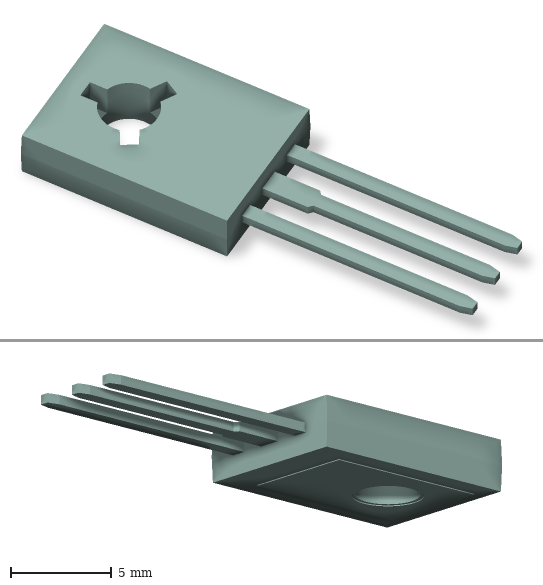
import cadquery as cq

total_length = 24.8
body_length = 11.75
body_width = 8.6
body_face_length = 11.7
body_face_width = 8.48
body_height = 2.7
parting_z = body_height / 2

pad_start = 0.77
pad_length = 9.05
pad_width = 6.1
pad_thickness = 0.05
pad_hole_diameter = 3.6

hole_x = 3.8
hole_diameter = 3.2
notch_reach = 2.5
notch_width = 1.0
notch_depth = 1.79
notch_angles = (60, 180, 300)

lead_pitch = 2.3
lead_width = 0.82
lead_thickness = 0.5
lead_centre_z = parting_z - 0.02
lead_root = body_length - 0.25
tip_length = 0.65
tip_width = 0.5
shoulder_width = 1.26
shoulder_end = 14.33
shoulder_taper = 0.2


def make_body():
    """Two half-height blocks, each narrowing from the parting plane to its face."""
    body = cq.Workplane("XY")
    for face_offset in (-parting_z, body_height - parting_z):
        half = (
            cq.Workplane("XY", origin=(body_length / 2, 0, parting_z))
            .rect(body_length, body_width)
            .workplane(offset=face_offset)
            .rect(body_face_length, body_face_width)
            .loft(ruled=True)
        )
        body = body.union(half)
    return body


def make_pad():
    """Thin plate on the underside, opened around the mounting hole."""
    plate = cq.Workplane("XY").box(pad_length, pad_width, pad_thickness, centered=(False, True, False))
    plate = plate.translate((pad_start, 0, -pad_thickness))
    opening = (
        cq.Workplane("XY", origin=(hole_x, 0, -pad_thickness))
        .circle(pad_hole_diameter / 2)
        .extrude(pad_thickness)
    )
    return plate.cut(opening)


def make_hole_cutter():
    """Through hole with blind notches spaced evenly around it."""
    cutter = cq.Workplane("XY").circle(hole_diameter / 2).extrude(body_height)
    notch = (
        cq.Workplane("XY")
        .box(notch_reach, notch_width, notch_depth, centered=(False, True, False))
        .translate((0, 0, body_height - notch_depth))
    )
    for angle in notch_angles:
        cutter = cutter.union(notch.rotate((0, 0, 0), (0, 0, 1), angle))
    return cutter.translate((hole_x, 0, 0))


def extrude_lead(half_outline):
    """Flat lead from one half of its outline, mirrored about its own axis."""
    other_half = [(x, -y) for x, y in reversed(half_outline)]
    return (
        cq.Workplane("XY", origin=(0, 0, lead_centre_z - lead_thickness / 2))
        .polyline(half_outline + other_half)
        .close()
        .extrude(lead_thickness)
    )


tip_outline = [
    (total_length - tip_length, lead_width / 2),
    (total_length, tip_width / 2),
]
outer_lead = extrude_lead([(lead_root, lead_width / 2)] + tip_outline)
middle_lead = extrude_lead(
    [
        (lead_root, shoulder_width / 2),
        (shoulder_end, shoulder_width / 2),
        (shoulder_end + shoulder_taper, lead_width / 2),
    ]
    + tip_outline
)

result = make_body().cut(make_hole_cutter()).union(make_pad()).union(middle_lead)
for side in (-1, 1):
    result = result.union(outer_lead.translate((0, side * lead_pitch, 0)))